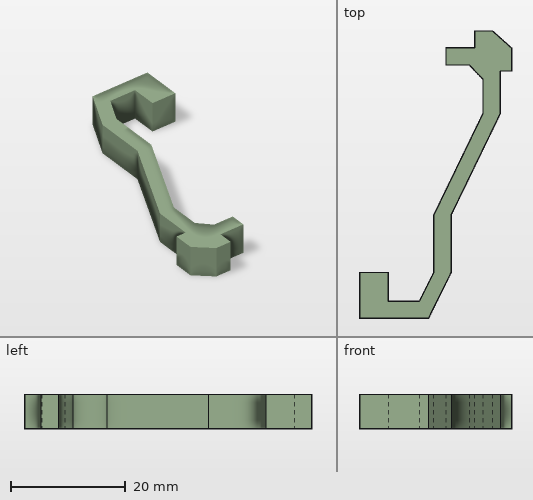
import cadquery as cq

total_width = 26.5
total_length = 50.0
thickness = 6.0

hook_width = 5.0
hook_height = 8.0
floor_thickness = 3.0
floor_outer_end = 12.0
floor_inner_end = 10.4

strip_width = 3.05
lower_strip_right = 15.95
lower_strip_left = lower_strip_right - strip_width
lower_strip_top = 18.0
upper_strip_right = 24.5
upper_strip_left = upper_strip_right - strip_width
upper_strip_bottom = 35.65

head_left = 20.0
head_bottom = 43.0
head_bevel_width = 3.35
head_bevel_height = 3.0
finger_tip = 15.0
finger_top = 47.1
finger_thickness = 3.05
finger_bottom = finger_top - finger_thickness
gusset_left = 19.1
gusset_bottom = 41.6

outline = [
    (0, 0),
    (floor_outer_end, 0),
    (lower_strip_right, hook_height),
    (lower_strip_right, lower_strip_top),
    (upper_strip_right, upper_strip_bottom),
    (upper_strip_right, head_bottom),
    (total_width, head_bottom),
    (total_width, total_length - head_bevel_height),
    (total_width - head_bevel_width, total_length),
    (head_left, total_length),
    (head_left, finger_top),
    (finger_tip, finger_top),
    (finger_tip, finger_bottom),
    (gusset_left, finger_bottom),
    (upper_strip_left, gusset_bottom),
    (upper_strip_left, upper_strip_bottom),
    (lower_strip_left, lower_strip_top),
    (lower_strip_left, hook_height),
    (floor_inner_end, floor_thickness),
    (hook_width, floor_thickness),
    (hook_width, hook_height),
    (0, hook_height),
]

result = cq.Workplane("XY").polyline(outline).close().extrude(thickness)